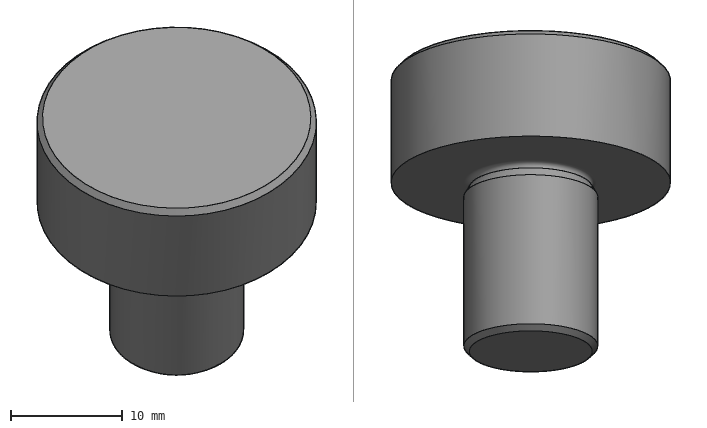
import cadquery as cq
import math

head_radius = 12.5
head_height = 10.2
head_chamfer = 0.5

shank_radius = 6.0
shank_length = 16.0
tip_chamfer = 0.5

neck_depth = 0.47
neck_radius = shank_radius - neck_depth
neck_length = 0.54
neck_fillet = 0.4
neck_cone_angle = 30.0
neck_cone_length = neck_depth / math.tan(math.radians(neck_cone_angle))

shank_bottom = -shank_length
cone_top = -neck_length
cone_bottom = cone_top - neck_cone_length


def make_head():
    head = cq.Workplane("XY").circle(head_radius).extrude(head_height)
    return head.faces(">Z").chamfer(head_chamfer)


def make_shank():
    """Shank with a chamfered tip and a filleted relief neck, revolved about Z."""
    arc_middle_offset = neck_fillet * (1 - math.sqrt(0.5))
    fillet_outer_radius = neck_radius + neck_fillet
    profile = (
        cq.Workplane("XZ")
        .moveTo(0, shank_bottom)
        .lineTo(shank_radius - tip_chamfer, shank_bottom)
        .lineTo(shank_radius, shank_bottom + tip_chamfer)
        .lineTo(shank_radius, cone_bottom)
        .lineTo(neck_radius, cone_top)
        .lineTo(neck_radius, -neck_fillet)
        .threePointArc((neck_radius + arc_middle_offset, -arc_middle_offset), (fillet_outer_radius, 0))
        .lineTo(0, 0)
        .close()
    )
    return profile.revolve(360, (0, 0, 0), (0, 1, 0))


result = make_head().union(make_shank())